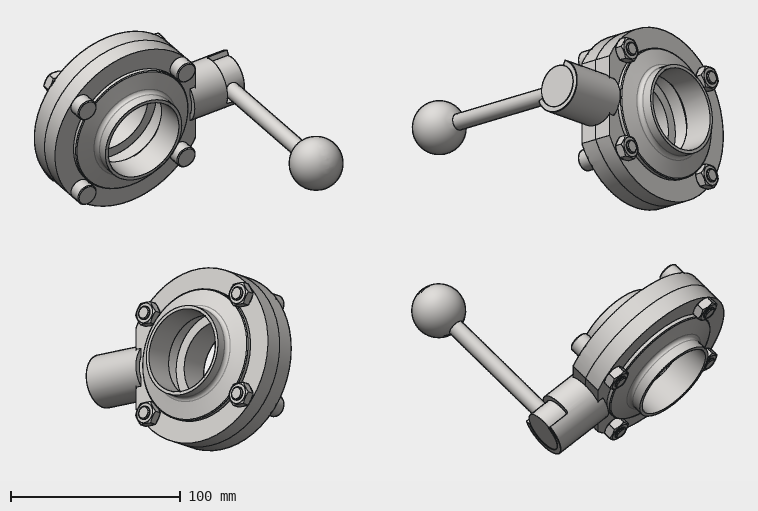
import cadquery as cq
import math

FLANGE_RADIUS = 52.8
FLANGE_WIDTH = 11.1
FLAT_Y = 46.7
COLLAR_RADIUS = 79.5 / 2
COLLAR_END = 14.0
COLLAR_CHAMFER = 0.6
CONE_FOOT_RADIUS = 58.0 / 2
CONE_FOOT_X = 16.8
FILLET_END_X = 19.7
TUBE_RADIUS = 54.0 / 2
TUBE_END = 25.9
BORE_RADIUS = 50.0 / 2
SEAT_RADIUS = 66.0 / 2
SEAT_WIDTH = 7.3
SEAT_TAPER = 15
SEAT_EDGE_RADIUS = SEAT_RADIUS - SEAT_WIDTH * math.tan(math.radians(SEAT_TAPER))

BOLT_Y = 35.0
BOLT_Z = 30.5
HEAD_RADIUS = 13.0 / 2
HEAD_LENGTH = 7.9
NUT_FLATS = 13.0
NUT_CORNERS = NUT_FLATS / math.cos(math.radians(30))
NUT_FACE_RADIUS = 12.0 / 2
NUT_BEVEL_ANGLE = 30
NUT_HEIGHT = 6.3
SHANK_RADIUS = 8.0 / 2
SHANK_LENGTH = 7.6
BOLT_CHAMFER = 0.6

SLEEVE_RADIUS = 32.0 / 2
SLEEVE_BORE_RADIUS = 25.5 / 2
SLEEVE_START = 42.8
SLEEVE_END = 80.5
SLEEVE_CHAMFER = 0.3
ROD_RADIUS = 10.0 / 2
ROD_Y = 71.5
LEVER_SWING = 90
WINDOW_MARGIN = 23.5
WINDOW_START = 66.0
WINDOW_CORNER = 1.5
STEM_RADIUS = 25.3 / 2
STEM_END = 80.0
KNOB_RADIUS = 32.0 / 2
OVERALL_LENGTH = 144
KNOB_X = OVERALL_LENGTH - TUBE_END - KNOB_RADIUS
ROD_END = KNOB_X


def x_cylinder(radius, start, end, y=0, z=0):
    return cq.Workplane("YZ", origin=(start, y, z)).circle(radius).extrude(end - start)


def y_cylinder(radius, start, end):
    return cq.Workplane("XZ", origin=(0, start, 0)).circle(radius).extrude(start - end)


def plain_half():
    """The +X half without bolts."""
    profile = (
        cq.Workplane("XY")
        .moveTo(0, SEAT_RADIUS)
        .lineTo(0, FLANGE_RADIUS)
        .lineTo(FLANGE_WIDTH, FLANGE_RADIUS)
        .lineTo(FLANGE_WIDTH, COLLAR_RADIUS)
        .lineTo(COLLAR_END - COLLAR_CHAMFER, COLLAR_RADIUS)
        .lineTo(COLLAR_END, COLLAR_RADIUS - COLLAR_CHAMFER)
        .lineTo(CONE_FOOT_X, CONE_FOOT_RADIUS)
        .tangentArcPoint((FILLET_END_X, TUBE_RADIUS), relative=False)
        .lineTo(TUBE_END, TUBE_RADIUS)
        .lineTo(TUBE_END, BORE_RADIUS)
        .lineTo(SEAT_WIDTH, BORE_RADIUS)
        .lineTo(SEAT_WIDTH, SEAT_EDGE_RADIUS)
        .close()
    )
    half = profile.revolve(360, (0, 0, 0), (1, 0, 0))
    size = 2 * FLANGE_RADIUS
    beyond_flat = cq.Workplane("XY", origin=(0, FLAT_Y + size / 2, 0)).box(size, size, size)
    return half.cut(beyond_flat)


def bolt_head():
    """Lies along +X from the origin."""
    return x_cylinder(HEAD_RADIUS, 0, HEAD_LENGTH).faces(">X").chamfer(BOLT_CHAMFER)


def nut_and_tip():
    """Lies along -X from the origin, the nut's corners pointing along Y."""
    hexagon = cq.Workplane("YZ").polygon(6, NUT_CORNERS).extrude(-NUT_HEIGHT)
    bevel_width = NUT_CORNERS / 2 - NUT_FACE_RADIUS
    bevel_height = bevel_width * math.tan(math.radians(NUT_BEVEL_ANGLE))
    blank = x_cylinder(NUT_CORNERS / 2, -NUT_HEIGHT, 0)
    bevelled = blank.faces("<X or >X").chamfer(bevel_height, bevel_width)
    tip = x_cylinder(SHANK_RADIUS, -SHANK_LENGTH, 0).faces("<X").chamfer(BOLT_CHAMFER)
    return hexagon.intersect(bevelled).union(tip)


def with_bolt_parts(half, bolt_part, face_x):
    for y in (-BOLT_Y, BOLT_Y):
        for z in (-BOLT_Z, BOLT_Z):
            half = half.union(bolt_part.translate((face_x, y, z)))
    return half


def window_wedge():
    """Sector about the Y axis in which the lever is free to swing."""
    reach = 2 * SLEEVE_RADIUS
    first_angle = math.radians(-WINDOW_MARGIN)
    middle_angle = math.radians(LEVER_SWING / 2)
    last_angle = math.radians(LEVER_SWING + WINDOW_MARGIN)
    return (
        cq.Workplane("XZ", origin=(0, SLEEVE_END, 0))
        .lineTo(reach * math.cos(first_angle), reach * math.sin(first_angle))
        .threePointArc(
            (reach * math.cos(middle_angle), reach * math.sin(middle_angle)),
            (reach * math.cos(last_angle), reach * math.sin(last_angle)),
        )
        .close()
        .extrude(SLEEVE_END - WINDOW_START)
    )


def make_sleeve():
    tube = y_cylinder(SLEEVE_RADIUS, SLEEVE_START, SLEEVE_END).faces(">Y").chamfer(SLEEVE_CHAMFER)
    tube = tube.cut(y_cylinder(SLEEVE_BORE_RADIUS, SLEEVE_START, SLEEVE_END))
    tube = tube.cut(window_wedge())
    window_floor = tube.faces("+Y").faces("<Y")
    tube = window_floor.edges("%LINE").fillet(WINDOW_CORNER)
    flange_slot = cq.Workplane("XY").box(2 * FLANGE_WIDTH, 2 * FLAT_Y, 2 * FLANGE_RADIUS)
    return tube.cut(flange_slot)


def make_rod():
    return x_cylinder(ROD_RADIUS, 0, ROD_END, y=ROD_Y)


def make_lever():
    """The stem inside the sleeve, in one piece with the lever rod."""
    stem = y_cylinder(STEM_RADIUS, FLAT_Y, STEM_END)
    return stem.union(make_rod())


def make_knob():
    ball = cq.Workplane("XY").sphere(KNOB_RADIUS).translate((KNOB_X, ROD_Y, 0))
    return ball.cut(make_rod())


nut_half = with_bolt_parts(plain_half().mirror("YZ"), nut_and_tip(), -FLANGE_WIDTH)
head_half = with_bolt_parts(plain_half(), bolt_head(), FLANGE_WIDTH)
sleeve = make_sleeve()
lever = make_lever()
knob = make_knob()

result = cq.Compound.makeCompound(
    [nut_half.val(), head_half.val(), sleeve.val(), lever.val(), knob.val()]
)